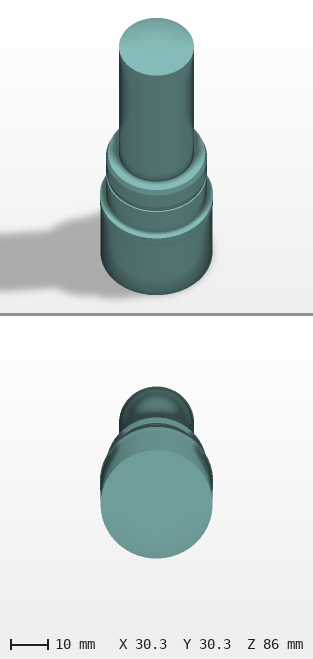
import cadquery as cq

total_height = 86.0
base_top = 21.7
flange_top = 24.0
neck_top = 25.0
groove_bottom = 33.0
groove_top = 35.0
collar_top = 41.6

base_diameter = 29.9
flange_diameter = 30.3
neck_diameter = 23.6
collar_diameter = 27.0
groove_diameter = 26.2
shank_diameter = 20.0

chamfer_height = 1.6
chamfer_width = 0.5


def cylinder(diameter, bottom, top):
    """Solid cylinder on the Z axis between two heights."""
    return cq.Workplane("XY").workplane(offset=bottom).circle(diameter / 2).extrude(top - bottom)


base = cylinder(base_diameter, 0, base_top)
flange = cylinder(flange_diameter, base_top, flange_top)

neck = cylinder(neck_diameter, flange_top, neck_top)
lower_collar = cylinder(collar_diameter, neck_top, groove_bottom)
groove_core = cylinder(groove_diameter, groove_bottom, groove_top)
upper_collar = cylinder(collar_diameter, groove_top, collar_top)
upper_collar = upper_collar.faces(">Z").edges().chamfer(chamfer_height, chamfer_width)

shank = cylinder(shank_diameter, collar_top, total_height)

result = base
for section in (flange, neck, lower_collar, groove_core, upper_collar, shank):
    result = result.union(section)